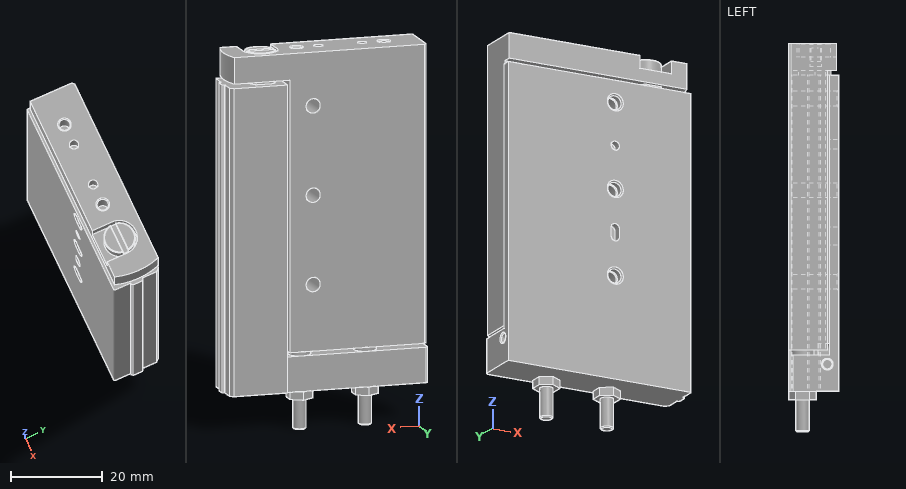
import cadquery as cq


total_height = 84.7
total_depth = 11.0
pitch = 10.0

housing_bottom = 8.8
housing_top = 77.75
housing_right = 45.4
plate_thickness = 2.0
stop_block_height = 8.0
stop_block_back = 10.5
back_chamfer = 0.5
cylinder_left = 32.35
front_fillet = 0.3
rear_chamfer = 0.8

rib_height = 0.6
rib_y = 5.4
rib_width = 2.9
rib_chamfer = 0.3

mount_x = 26.5
mount_top_z = 72.7
mount_diameter = 3.2
mount_mouth_diameter = 4.0
locating_diameter = 2.0
locating_slot_length = 4.0

side_hole_y = 2.5
side_hole_z = 14.7
side_hole_diameter = 2.0
side_hole_mouth = 2.5
side_hole_depth = 3.0

stud_x = 13.7
stud_spacing = 1.5 * pitch
stud_y = 8.0
stud_diameter = 3.0
stud_chamfer = 0.25
stud_nut_corners = 6.0
stud_nut_height = 1.9
bumper_diameter = 5.0
bumper_height = 1.0

relief_diameter = 2.5
relief_z = 17.95
relief_depth = 2.5

table_left = 0.5
table_right = 31.85
table_front = 2.5
table_bottom = housing_bottom + stop_block_height + bumper_height
groove_left = 5.0
groove_right = 22.2
groove_depth = 0.4

end_plate_bottom = 78.8
end_plate_front = 0.5
end_plate_right = 44.55
end_plate_bulge = 0.85

end_hole_y = 5.1
end_hole_middle_x = 18.5
thread_diameter = 2.45
thread_mouth = 3.0
thread_depth = 5.1
dowel_diameter = 2.0
dowel_depth = 4.0

screw_x = 36.85
screw_y = 5.25
pocket_width = 7.8
pocket_depth = 3.0
screw_head_diameter = 6.9
screw_head_chamfer = 0.2
screw_slot_width = 1.3
screw_slot_depth = 1.0
screw_nut_corners = 8.2


def box(x0, x1, y0, y1, z0, z1):
    """Block between two opposite corners."""
    return cq.Workplane("XY").box(x1 - x0, y1 - y0, z1 - z0, centered=False).translate((x0, y0, z0))


def rod(x, y, diameter, z0, z1):
    """Upright cylinder between two heights."""
    return cq.Workplane("XY", origin=(x, y, z0)).circle(diameter / 2).extrude(z1 - z0)


def hexagon(x, y, corners, turn, z0, z1):
    """Upright hexagonal prism, sized across corners and turned about its axis."""
    prism = cq.Workplane("XY").polygon(6, corners).extrude(z1 - z0)
    return prism.rotate((0, 0, 0), (0, 0, 1), turn).translate((x, y, z0))


def chamfered_hole(start, direction, diameter, mouth, depth):
    """Cutter for a round hole with a 45 degree countersunk mouth."""
    countersink = (mouth - diameter) / 2
    start = cq.Vector(*start)
    direction = cq.Vector(*direction)
    bore = cq.Solid.makeCylinder(diameter / 2, depth, start, direction)
    cone = cq.Solid.makeCone(mouth / 2, diameter / 2, countersink, start, direction)
    return cq.Workplane(obj=bore.fuse(cone))


def mounting_holes():
    """Cutters for the three cross holes that run through housing and table."""
    cutters = cq.Workplane()
    for step in range(3):
        z = mount_top_z - 2 * pitch * step
        hole = chamfered_hole((mount_x, 0, z), (0, 1, 0), mount_diameter, mount_mouth_diameter, total_depth)
        cutters = cutters.add(hole)
    return cutters.combine()


def make_cylinder_side():
    """Thick right side of the housing, with a side rib."""
    side = box(cylinder_left, housing_right, 0, total_depth, housing_bottom, housing_top)
    side = side.edges("|Z and >X and <Y").fillet(front_fillet)
    side = side.edges("|Z and >X and >Y").chamfer(rear_chamfer)

    half_rib = rib_width / 2
    rib_right = housing_right + rib_height
    rib = box(cylinder_left, rib_right, rib_y - half_rib, rib_y + half_rib, housing_bottom, housing_top)
    rib = rib.edges("|Z and >X").chamfer(rib_chamfer)

    relief = cq.Workplane(obj=cq.Solid.makeCylinder(
        relief_diameter / 2,
        relief_depth,
        cq.Vector(cylinder_left, plate_thickness, relief_z),
        cq.Vector(0, 1, 0),
    ))
    return side.union(rib).cut(relief)


def make_stop_stud(x):
    """Stop stud with its lock nut under the housing."""
    nut_bottom = housing_bottom - stud_nut_height
    stud = rod(x, stud_y, stud_diameter, 0, housing_bottom).faces("<Z").chamfer(stud_chamfer)
    nut = hexagon(x, stud_y, stud_nut_corners, 90, nut_bottom, housing_bottom)
    return stud.union(nut)


def make_housing():
    """Guide plate, cylinder side, stop block and stop studs as one body."""
    block_top = housing_bottom + stop_block_height
    plate = box(0, cylinder_left, 0, plate_thickness, housing_bottom, housing_top)
    block = box(0, cylinder_left, 0, stop_block_back, housing_bottom, block_top)
    block = block.edges("|Z and <X and >Y").chamfer(back_chamfer)
    housing = make_cylinder_side().union(plate).union(block)

    for x in (stud_x, stud_x + stud_spacing):
        housing = housing.union(make_stop_stud(x))
        housing = housing.union(rod(x, stud_y, bumper_diameter, block_top, table_bottom))

    housing = housing.cut(mounting_holes())
    locating_hole = (
        cq.Workplane("XZ", origin=(mount_x, 0, mount_top_z - pitch))
        .circle(locating_diameter / 2)
        .extrude(-plate_thickness)
    )
    locating_slot = (
        cq.Workplane("XZ", origin=(mount_x, 0, mount_top_z - 3 * pitch))
        .slot2D(locating_slot_length, locating_diameter, 90)
        .extrude(-plate_thickness)
    )
    side_hole = chamfered_hole(
        (0, side_hole_y, side_hole_z), (1, 0, 0), side_hole_diameter, side_hole_mouth, side_hole_depth
    )
    return housing.cut(locating_hole).cut(locating_slot).cut(side_hole)


def make_end_plate():
    """Top plate of the table, with a bulged right end."""
    middle_y = (end_plate_front + total_depth) / 2
    return (
        cq.Workplane("XY", origin=(0, 0, end_plate_bottom))
        .moveTo(table_left, end_plate_front)
        .lineTo(end_plate_right, end_plate_front)
        .threePointArc((end_plate_right + end_plate_bulge, middle_y), (end_plate_right, total_depth))
        .lineTo(table_left, total_depth)
        .close()
        .extrude(total_height - end_plate_bottom)
    )


def end_plate_holes():
    """Cutters for the two threaded holes and two dowel holes in the end plate."""
    cutters = cq.Workplane()
    for side in (-1, 1):
        thread_x = end_hole_middle_x + side * pitch
        dowel_x = end_hole_middle_x + side * pitch / 2
        thread = chamfered_hole(
            (thread_x, end_hole_y, total_height), (0, 0, -1), thread_diameter, thread_mouth, thread_depth
        )
        dowel = rod(dowel_x, end_hole_y, dowel_diameter, total_height - dowel_depth, total_height)
        cutters = cutters.add(thread).add(dowel)
    return cutters.combine()


def screw_pocket():
    """Cutter for the round pocket of the screw head, open to the front."""
    pocket_floor = total_height - pocket_depth
    half_width = pocket_width / 2
    channel = box(screw_x - half_width, screw_x + half_width, 0, screw_y, pocket_floor, total_height)
    return channel.union(rod(screw_x, screw_y, pocket_width, pocket_floor, total_height))


def make_screw():
    """Slotted screw head in the pocket and the hexagon nut below the end plate."""
    half_head = screw_head_diameter / 2
    half_slot = screw_slot_width / 2
    slot_floor = total_height - screw_slot_depth
    head = rod(screw_x, screw_y, screw_head_diameter, total_height - pocket_depth, total_height)
    head = head.faces(">Z").chamfer(screw_head_chamfer)
    slot = box(
        screw_x - half_head,
        screw_x + half_head,
        screw_y - half_slot,
        screw_y + half_slot,
        slot_floor,
        total_height,
    )
    nut = hexagon(screw_x, screw_y, screw_nut_corners, 0, housing_top, end_plate_bottom)
    return head.cut(slot), nut


def make_table():
    """Sliding table with its end plate and adjusting screw as one body."""
    slab = box(table_left, table_right, table_front, total_depth, table_bottom, end_plate_bottom)
    groove = box(
        groove_left, groove_right, table_front, table_front + groove_depth, table_bottom, end_plate_bottom
    )
    table = slab.cut(groove).union(make_end_plate())
    table = table.edges("|Z and <X and >Y").chamfer(back_chamfer)
    table = table.cut(mounting_holes()).cut(end_plate_holes()).cut(screw_pocket())
    head, nut = make_screw()
    return table.union(head).union(nut)


housing = make_housing()
table = make_table()

result = cq.Compound.makeCompound([housing.solids().val(), table.solids().val()])